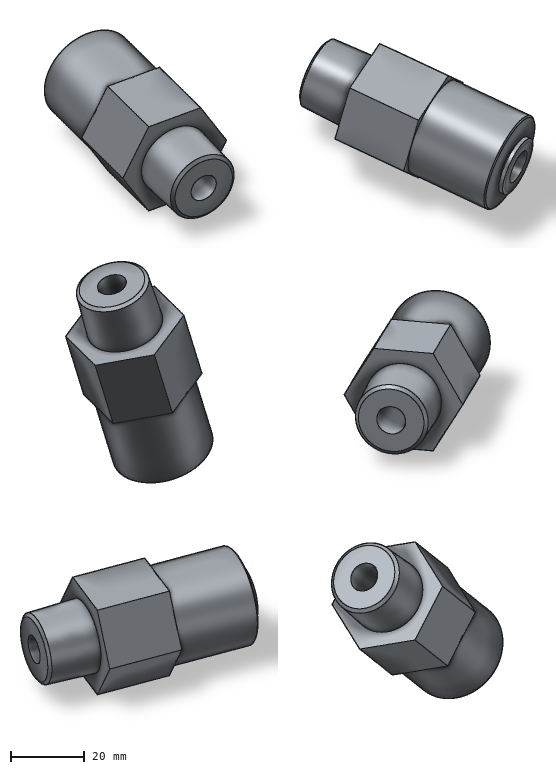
import cadquery as cq
import math

total_length = 62.9
collar_width = 1.4
body_start = 2.5
hex_start = 26.4
hex_end = 47.8

collar_diameter = 16.8
collar_face_diameter = 14.8
collar_face_bevel = 0.2
neck_diameter = 11.5

body_diameter = 28.0
body_chamfer = 0.4

hex_across_flats = 28.55
hex_across_corners = hex_across_flats / math.cos(math.radians(30))

taper_ratio = 1 / 16
taper_large_diameter = 21.15
tip_chamfer_length = 0.75
tip_chamfer_height = 1.0
taper_end = total_length - tip_chamfer_length
taper_small_diameter = taper_large_diameter - taper_ratio * (taper_end - hex_end)

tube_socket_diameter = 9.5
tube_socket_depth = hex_start
bore_diameter = 8.0


def revolved_outside():
    """Collar, neck, body and tapered end as one profile turned about X."""
    body_radius = body_diameter / 2
    tip_radius = taper_small_diameter / 2 - tip_chamfer_height
    profile = [
        (0, 0),
        (0, collar_face_diameter / 2),
        (collar_face_bevel, collar_diameter / 2),
        (collar_width, collar_diameter / 2),
        (collar_width, neck_diameter / 2),
        (body_start, neck_diameter / 2),
        (body_start, body_radius - body_chamfer),
        (body_start + body_chamfer, body_radius),
        (hex_end, body_radius),
        (hex_end, taper_large_diameter / 2),
        (taper_end, taper_small_diameter / 2),
        (total_length, tip_radius),
        (total_length, 0),
    ]
    return cq.Workplane("XY").polyline(profile).close().revolve(360, (0, 0, 0), (1, 0, 0))


def hexagon():
    """Wrench hexagon with its corners on the Y axis."""
    return (
        cq.Workplane("YZ", origin=(hex_start, 0, 0))
        .polygon(6, hex_across_corners)
        .extrude(hex_end - hex_start)
    )


def bore(diameter, depth):
    """Round cutter starting at the collar face."""
    return cq.Workplane("YZ").circle(diameter / 2).extrude(depth)


result = (
    revolved_outside()
    .union(hexagon())
    .cut(bore(tube_socket_diameter, tube_socket_depth))
    .cut(bore(bore_diameter, total_length))
)